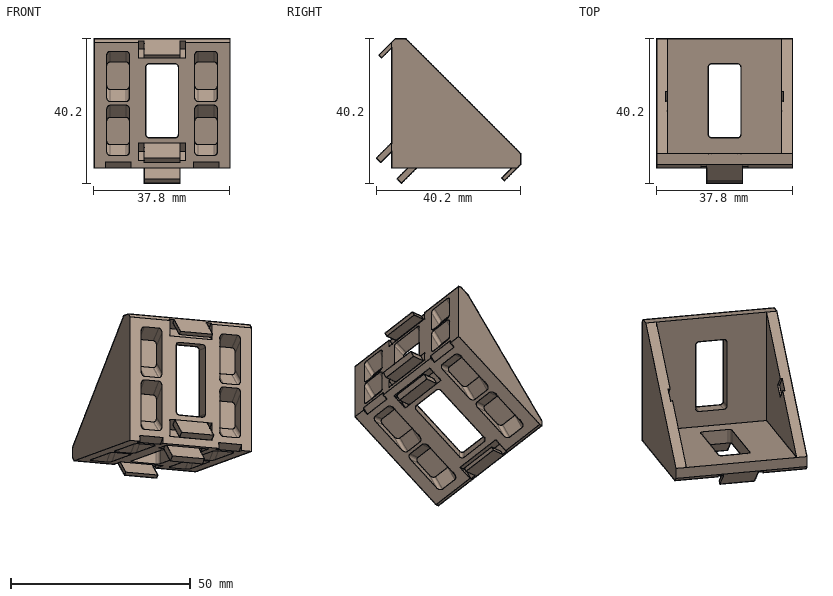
import cadquery as cq
import math

width = 37.8
leg = 36.0
plate_thickness = 4.0
side_wall = 3.0
tip_chamfer = 1.05
mid_x = width / 2
overshoot = 1.0

window_width = 9.0
window_start = 8.45
window_end = 29.0
window_radius = 0.9

pocket_inset = 6.67
pocket_columns = (pocket_inset, width - pocket_inset)
pocket_width = 6.45
pocket_length = 14.0
pocket_gap = 1.0
pocket_depth = 3.38
pocket_outer_run = 3.0
pocket_inner_run = pocket_depth
pocket_radius = 1.0

relief_width = 7.1
relief_size = 1.65

tab_width = 10.0
tab_side_gap = 1.5
corner_tab_start = 7.0
corner_tab_length = 6.0
corner_tab_thickness = 1.77
corner_recess_end = 2.15
tip_tab_start = leg - tip_chamfer
tip_tab_length = 5.0
tip_tab_thickness = 1.1
tip_recess_top = 35.8
tip_recess_end = 30.6

slot_wall_bite = 0.55
slot_span = 3.7
slot_depth = 4.0


def extrude_yz(points, x_center, x_width):
    """Prism with a YZ outline, centred on x_center."""
    start = x_center - x_width / 2
    return cq.Workplane("YZ").polyline(points).close().extrude(x_width).translate((start, 0, 0))


def on_both_legs(shape):
    """The shape together with its mirror image in the plane Y = Z."""
    return shape.union(shape.mirror(cq.Vector(0, 1, -1)))


def make_body():
    """Triangular wedge hollowed to two plates joined by two side walls."""
    outline = [
        (0, 0),
        (leg - tip_chamfer, 0),
        (leg, tip_chamfer),
        (leg, plate_thickness),
        (plate_thickness, leg),
        (tip_chamfer, leg),
        (0, leg - tip_chamfer),
    ]
    cavity_far = leg + overshoot
    cavity = [
        (plate_thickness, plate_thickness),
        (cavity_far, plate_thickness),
        (cavity_far, cavity_far),
        (plate_thickness, cavity_far),
    ]
    body = extrude_yz(outline, mid_x, width)
    return body.cut(extrude_yz(cavity, mid_x, width - 2 * side_wall))


def make_window():
    """Rounded rectangular opening through the upright plate."""
    length = window_end - window_start
    return (
        cq.Workplane("XY")
        .box(window_width, plate_thickness + 2 * overshoot, length)
        .edges("|Y")
        .fillet(window_radius)
        .translate((mid_x, plate_thickness / 2, window_start + length / 2))
    )


def make_pocket(x_center, outer_z, direction):
    """Pocket with sloping ends, running from outer_z in the given Z direction."""
    outline = [
        (0, outer_z),
        (pocket_depth, outer_z + direction * pocket_outer_run),
        (pocket_depth, outer_z + direction * (pocket_length - pocket_inner_run)),
        (0, outer_z + direction * pocket_length),
    ]
    pocket = extrude_yz(outline, x_center, pocket_width)
    sloping_edges = pocket.edges("not(|X or |Z)")
    return sloping_edges.fillet(pocket_radius)


def make_tab(start, length, thickness):
    """Tab sloping outwards and down at 45 degrees; start is its upper Z at Y = 0."""
    reach = length / math.sqrt(2)
    step = thickness / math.sqrt(2)
    outline = [
        (step, start + step),
        (-reach, start - reach),
        (-reach + step, start - reach - step),
        (2 * step, start),
    ]
    return extrude_yz(outline, mid_x, tab_width)


def make_recess(top, bottom):
    """V-shaped recess with 45 degree faces meeting the plate face at top and bottom."""
    depth = (top - bottom) / 2
    outline = [
        (-overshoot, top + overshoot),
        (depth, bottom + depth),
        (-overshoot, bottom - overshoot),
    ]
    return extrude_yz(outline, mid_x, tab_width + 2 * tab_side_gap)


def make_relief(x_center):
    """Chamfer wedge along the corner edge at Y = Z = 0."""
    outline = [(0, 0), (relief_size, 0), (0, relief_size)]
    return extrude_yz(outline, x_center, relief_width)


def make_slots():
    """One bar across the cavity, square to the slope, that notches both side walls."""
    slope_middle = (leg + plate_thickness) / 2
    slot_reach = width - 2 * side_wall + 2 * slot_wall_bite
    slot = cq.Workplane("XY").box(slot_reach, slot_span, 2 * slot_depth)
    return slot.rotate((0, 0, 0), (1, 0, 0), -45).translate((mid_x, slope_middle, slope_middle))


def make_leg_cuts():
    """Window, tab recesses and pockets of the upright plate."""
    cuts = make_window()
    cuts = cuts.union(make_recess(corner_tab_start, corner_recess_end))
    cuts = cuts.union(make_recess(tip_recess_top, tip_recess_end))
    lower_start = (leg - pocket_gap) / 2 - pocket_length
    upper_end = leg - lower_start
    for x_center in pocket_columns:
        cuts = cuts.union(make_pocket(x_center, lower_start, 1))
        cuts = cuts.union(make_pocket(x_center, upper_end, -1))
    return cuts


def make_leg_tabs():
    """Both snap tabs of the upright plate."""
    corner_tab = make_tab(corner_tab_start, corner_tab_length, corner_tab_thickness)
    tip_tab = make_tab(tip_tab_start, tip_tab_length, tip_tab_thickness)
    return corner_tab.union(tip_tab)


result = make_body()
result = result.cut(on_both_legs(make_leg_cuts()))
for column_x in pocket_columns:
    result = result.cut(make_relief(column_x))
result = result.cut(make_slots())
result = result.union(on_both_legs(make_leg_tabs()))